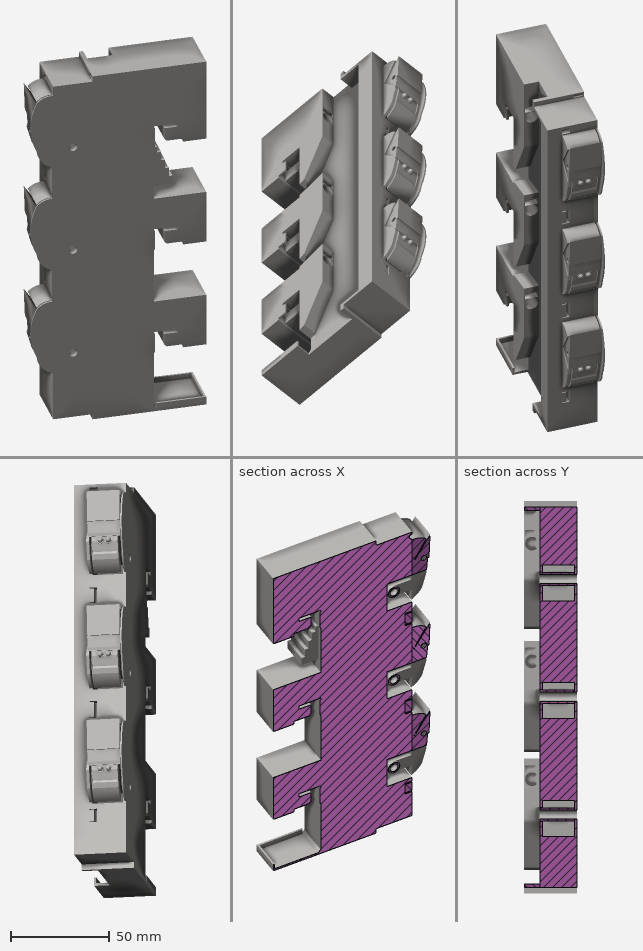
import cadquery as cq

WIDTH = 27.0
HEIGHT = 200.0
BACK_Y = 80.8
STRIP_WIDTH = 8.0
POLE_PITCH = 60.0
POLE_DROPS = [0.0, -POLE_PITCH, -2 * POLE_PITCH]

END_STEP_Y = 20.8
END_STEP_HEIGHT = 3.0
REAR_Y = 53.1
TRAY_FRONT_Y = 54.6
TRAY_HEIGHT = 4.5
TRAY_FLOOR = 1.4
TRAY_WALL = 1.0

BLOCK_TOP_Z = 184.0
BLOCK_BOTTOM_Z = 155.1
HOOK_SLOT_TOP_Z = 166.2
HOOK_TOP_Z = 164.3
HOOK_BOTTOM_Z = 156.9
HOOK_HEEL_Y = 68.6
HOOK_SLOT_Y = 65.5
HOOK_FACE_Y = 63.5
HOOK_TIP_Y = 58.7
HOOK_TIP_INSET = 5.0
HOOK_WALL = 1.0
HOOK_CHAMFER = 1.2
HOOK_WALL_CHAMFER = 0.8
RAIL_PAD_THICKNESS = 0.5
RAIL_PAD_BOTTOM_Z = 154.2
RAIL_PAD_TOP_Z = 165.3

PAD_FRONT_Y = 36.4
PAD_TOP_FRONT_Z = 188.7
PAD_TOP_REAR_Z = 185.6
PAD_BEND_Z = 159.8
PAD_TOE_Y = 49.7
PAD_TOE_Z = 136.0
PAD_BOTTOM_Z = 134.8
LOWER_PAD_EXTENSION = 2.8
PAD_BEND_RADIUS = 4.0
TERMINAL_DIAMETER = 7.0
TERMINAL_DEPTH = 12.0
TERMINAL_X = 4.0
TERMINAL_Z = 178.2
TERMINAL_SLOT_HEIGHT = 3.5
TERMINAL_SLOT_DEPTH = 4.0

STAIR_X = 12.0
STAIR_BOTTOM_Z = 131.2
STAIR_RISE = 4.9
STAIR_RUN = 2.0
STAIR_BACK_Y = 63.0
STAIR_COUNT = 4
STAIR_TOP_Y = 54.8
STAIR_TOP_Z = 154.1

STRIP_DEPTH = 9.9
FLANGE_TOP_Z = 5.0
FLANGE_END_Y = 23.0
TAB_WIDTH = 2.4
NOTCH_WIDTH = 3.9
NOTCH_CLEARANCE = 0.4
NOTCH_DEPTH = 4.0
TAB_SPANS = [(135.1, 142.4), (74.7, 82.8), (20.1, 26.2)]

GROOVE_DIAMETER = 3.0
GROOVE_Z = 193.9
GROOVE_WIDTH = 4.3
MARK_X = 21.1
MARK_WIDTH = 5.4
MARK_BOTTOM_Z = 197.5
MARK_HEIGHT = 2.0
MARK_DEPTH = 1.0

LEVER_RIGHT_X = 25.5
PIVOT_Y = 10.5
PIVOT_Z = 160.3
PIVOT_DIAMETER = 7.0
PIVOT_BORE = 4.5
POCKET_X = 9.5
POCKET_DEPTH = 14.5
POCKET_BOTTOM_Z = 149.3
POCKET_TOP_Z = 167.4
CORE_X = 10.5
CORE_RIGHT_X = 24.3
LEVER_TOP_Z = 191.65
LEVER_SHOULDER = (-8.4, 188.6)
LEVER_ARC_MIDDLE = (-5.0, 190.9)
LEVER_BROW = (-8.9, 165.0)
LEVER_CHIN = (-6.3, 155.8)
LEVER_CHIN_ARC_MIDDLE = (-3.8, 152.6)
LEVER_BOTTOM_Z = 150.0
HANDLE_REAR = (-0.7, 176.1)
HANDLE_FOOT = (-8.4, 167.6)
HANDLE_PEAK = (-10.6, 190.8)
HANDLE_STEP_Z = 175.3
HANDLE_STEP_FRONT_Y = -10.0
HANDLE_STEP_REAR_Y = -9.2
HANDLE_LIP = (-8.7, 169.2)
HANDLE_INSET = 0.6
HANDLE_HOLE_DIAMETER = 2.8
HANDLE_HOLE_DEPTH = 1.5
HANDLE_HOLE_Y = -6.8
HANDLE_HOLE_Z = 176.3
GRIP_MARGIN = 0.3
GRIP_OUTER_Y = -12.0
GRIP_FLOOR_Y = -8.0
GRIP_CREASE_Z = 164.9
GRIP_DEEPEST = (-6.8, 159.7)
GRIP_BOTTOM_Y = -7.1
GRIP_BOTTOM_Z = 158.3
LAMP_DIAMETER = 2.8
LAMP_COLLAR_DIAMETER = 3.6
LAMP_COLLAR_LENGTH = 1.5
LAMP_XS = (15.2, 19.4)
LAMP_Y = -8.3
LAMP_Z = 165.5

RAIL_THICKNESS = 0.5
RAIL_LEDGE_THICKNESS = 0.3
CHEEK_X = 26.2
CHEEK_CREST = (-11.83, 176.3)
CHEEK_CHIN = (-8.5, 160.0)
CHEEK_CHIN_ARC_MIDDLE = (-5.8, 153.6)
RAIL_BOTTOM_Z = 30.4
RAIL_TOP_Z = LEVER_TOP_Z


def side_sketch(x):
    """Workplane at the given X whose local axes are the part's Y and Z."""
    return cq.Workplane("YZ", origin=(x, 0, 0))


def side_prism(points, x_start, x_end):
    """Closed polygon of (Y, Z) points extruded from one X to another."""
    return side_sketch(x_start).polyline(points).close().extrude(x_end - x_start)


def box(x_span, y_span, z_span):
    """Box given by its limits along each axis."""
    size = [high - low for low, high in (x_span, y_span, z_span)]
    corner = (x_span[0], y_span[0], z_span[0])
    return cq.Workplane("XY").box(*size, centered=False).translate(corner)


def side_cylinder(diameter, y, z, x_start, x_end):
    """Round bar along X."""
    return side_sketch(x_start).center(y, z).circle(diameter / 2).extrude(x_end - x_start)


def hook_block(top_z):
    """Block behind the housing with its rail hook, for the top pole."""
    block = side_prism(
        [
            (REAR_Y, top_z),
            (BACK_Y, top_z),
            (BACK_Y, BLOCK_BOTTOM_Z),
            (HOOK_HEEL_Y, BLOCK_BOTTOM_Z),
            (HOOK_HEEL_Y, HOOK_BOTTOM_Z),
            (HOOK_FACE_Y + HOOK_WALL_CHAMFER, HOOK_BOTTOM_Z),
            (HOOK_FACE_Y, HOOK_BOTTOM_Z + HOOK_WALL_CHAMFER),
            (HOOK_FACE_Y, HOOK_TOP_Z),
            (HOOK_SLOT_Y, HOOK_TOP_Z),
            (HOOK_SLOT_Y, HOOK_SLOT_TOP_Z),
            (REAR_Y, HOOK_SLOT_TOP_Z),
        ],
        0,
        WIDTH,
    )
    tip = side_prism(
        [
            (HOOK_HEEL_Y, HOOK_TOP_Z),
            (HOOK_TIP_Y, HOOK_TOP_Z),
            (HOOK_TIP_Y, HOOK_BOTTOM_Z + HOOK_CHAMFER),
            (HOOK_TIP_Y + HOOK_CHAMFER, HOOK_BOTTOM_Z),
            (HOOK_HEEL_Y, HOOK_BOTTOM_Z),
        ],
        HOOK_TIP_INSET,
        WIDTH,
    )
    rail_pad = box(
        (STRIP_WIDTH, WIDTH),
        (REAR_Y, REAR_Y + RAIL_PAD_THICKNESS),
        (RAIL_PAD_BOTTOM_Z, RAIL_PAD_TOP_Z),
    )
    groove = box(
        (HOOK_WALL, HOOK_TIP_INSET), (HOOK_FACE_Y, HOOK_HEEL_Y), (HOOK_BOTTOM_Z, HOOK_TOP_Z)
    )
    return block.cut(groove).union(tip).union(rail_pad)


def side_pad(top_front_z, top_rear_z, extension=0.0):
    """Thick side area with its terminal hole and slot, for the top pole."""
    pad = side_prism(
        [
            (PAD_FRONT_Y, top_front_z),
            (REAR_Y, top_rear_z),
            (REAR_Y, PAD_BOTTOM_Z - extension),
            (PAD_TOE_Y, PAD_TOE_Z - extension),
            (PAD_FRONT_Y, PAD_BEND_Z - extension),
        ],
        0,
        STRIP_WIDTH,
    )
    bend = cq.selectors.NearestToPointSelector(
        (STRIP_WIDTH / 2, PAD_FRONT_Y, PAD_BEND_Z - extension)
    )
    pad = pad.edges(bend).fillet(PAD_BEND_RADIUS)
    radius = TERMINAL_DIAMETER / 2
    hole = (
        cq.Workplane("XZ", origin=(TERMINAL_X, PAD_FRONT_Y, TERMINAL_Z))
        .circle(radius)
        .extrude(-TERMINAL_DEPTH)
    )
    slot = box(
        (TERMINAL_X - radius, TERMINAL_X + radius),
        (PAD_FRONT_Y, PAD_FRONT_Y + TERMINAL_SLOT_DEPTH),
        (TERMINAL_Z + radius, TERMINAL_Z + radius + TERMINAL_SLOT_HEIGHT),
    )
    return pad.cut(hole).cut(slot)


def stepped_rib():
    """Staircase behind the top pole, widest at its foot."""
    points = [(REAR_Y, STAIR_BOTTOM_Z), (STAIR_BACK_Y, STAIR_BOTTOM_Z)]
    for step in range(STAIR_COUNT):
        y = STAIR_BACK_Y - step * STAIR_RUN
        z = STAIR_BOTTOM_Z + (step + 1) * STAIR_RISE
        next_y = STAIR_TOP_Y if step == STAIR_COUNT - 1 else y - STAIR_RUN
        points += [(y, z), (next_y, z)]
    points += [(STAIR_TOP_Y, STAIR_TOP_Z), (REAR_Y, STAIR_TOP_Z)]
    return side_prism(points, STAIR_X, WIDTH)


def foot_tray():
    """Shallow tray behind the foot of the housing, open towards the front."""
    rim = box((0, WIDTH), (TRAY_FRONT_Y, BACK_Y), (0, TRAY_HEIGHT))
    hollow = box(
        (TRAY_WALL, WIDTH - TRAY_WALL),
        (TRAY_FRONT_Y, BACK_Y - TRAY_WALL),
        (TRAY_FLOOR, TRAY_HEIGHT),
    )
    slope = TRAY_FRONT_Y - REAR_Y
    link = side_prism(
        [
            (REAR_Y, 0),
            (TRAY_FRONT_Y, 0),
            (TRAY_FRONT_Y, TRAY_FLOOR),
            (REAR_Y, TRAY_FLOOR + slope),
        ],
        STRIP_WIDTH,
        WIDTH,
    )
    return rim.cut(hollow).union(link)


def lever_pocket():
    """Pocket and pivot hole that receive the lever of the top pole."""
    pocket = box(
        (POCKET_X, LEVER_RIGHT_X), (0, POCKET_DEPTH), (POCKET_BOTTOM_Z, POCKET_TOP_Z)
    )
    hub_hole = side_cylinder(PIVOT_DIAMETER, PIVOT_Y, PIVOT_Z, STRIP_WIDTH, LEVER_RIGHT_X)
    bore = side_cylinder(PIVOT_BORE, PIVOT_Y, PIVOT_Z, STRIP_WIDTH, WIDTH)
    return pocket.union(hub_hole).union(bore)


def front_groove():
    """Half-round groove near the top of the front face."""
    return side_cylinder(
        GROOVE_DIAMETER, 0, GROOVE_Z, STRIP_WIDTH, STRIP_WIDTH + GROOVE_WIDTH
    )


def make_housing():
    """Main block with its three rail hooks, side pads and lever pockets."""
    body = box((STRIP_WIDTH, WIDTH), (0, END_STEP_Y), (END_STEP_HEIGHT, HEIGHT - END_STEP_HEIGHT))
    body = body.union(box((STRIP_WIDTH, WIDTH), (END_STEP_Y, REAR_Y), (0, HEIGHT)))
    for drop in POLE_DROPS:
        top_pole = drop == 0
        block = hook_block(HEIGHT if top_pole else BLOCK_TOP_Z)
        if top_pole:
            pad = side_pad(HEIGHT, HEIGHT)
        else:
            pad = side_pad(PAD_TOP_FRONT_Z, PAD_TOP_REAR_Z, LOWER_PAD_EXTENSION)
        body = body.union(block.union(pad).translate((0, 0, drop)))
        body = body.cut(lever_pocket().translate((0, 0, drop)))
    body = body.union(stepped_rib()).union(foot_tray())
    for low, high in TAB_SPANS:
        body = body.cut(
            box(
                (STRIP_WIDTH, STRIP_WIDTH + NOTCH_WIDTH),
                (0, NOTCH_DEPTH),
                (low - NOTCH_CLEARANCE, high + NOTCH_CLEARANCE),
            )
        )
    mark = box(
        (MARK_X, MARK_X + MARK_WIDTH),
        (END_STEP_Y, END_STEP_Y + MARK_DEPTH),
        (MARK_BOTTOM_Z, MARK_BOTTOM_Z + MARK_HEIGHT),
    )
    return body.cut(front_groove()).cut(mark)


def make_strip():
    """C-shaped strip with tabs that enter the notches of the housing."""
    lower = [
        (0, END_STEP_HEIGHT),
        (END_STEP_Y, END_STEP_HEIGHT),
        (END_STEP_Y, 0),
        (FLANGE_END_Y, 0),
        (FLANGE_END_Y, FLANGE_TOP_Z),
        (STRIP_DEPTH, FLANGE_TOP_Z),
    ]
    upper = [(y, HEIGHT - z) for y, z in reversed(lower)]
    strip = side_prism(lower + upper, 0, STRIP_WIDTH)
    for low, high in TAB_SPANS:
        tab = box((STRIP_WIDTH, STRIP_WIDTH + TAB_WIDTH), (0, NOTCH_DEPTH), (low, high))
        strip = strip.union(tab)
    return strip


def lever_shell():
    """Rounded rocker with the wedge-shaped gap that the handle fills."""
    return (
        side_sketch(STRIP_WIDTH)
        .moveTo(0, LEVER_TOP_Z)
        .threePointArc(LEVER_ARC_MIDDLE, LEVER_SHOULDER)
        .lineTo(*HANDLE_REAR)
        .lineTo(*HANDLE_FOOT)
        .lineTo(*LEVER_BROW)
        .lineTo(*LEVER_CHIN)
        .threePointArc(LEVER_CHIN_ARC_MIDDLE, (0, LEVER_BOTTOM_Z))
        .close()
        .extrude(LEVER_RIGHT_X - STRIP_WIDTH)
    )


def lever_handle():
    """Wedge handle, set in slightly from the left side of the rocker."""
    handle = side_prism(
        [
            HANDLE_REAR,
            HANDLE_PEAK,
            (HANDLE_STEP_FRONT_Y, HANDLE_STEP_Z),
            (HANDLE_STEP_REAR_Y, HANDLE_STEP_Z),
            HANDLE_LIP,
            HANDLE_FOOT,
        ],
        STRIP_WIDTH + HANDLE_INSET,
        LEVER_RIGHT_X,
    )
    hole_start = STRIP_WIDTH + HANDLE_INSET
    hole = side_cylinder(
        HANDLE_HOLE_DIAMETER,
        HANDLE_HOLE_Y,
        HANDLE_HOLE_Z,
        hole_start,
        hole_start + HANDLE_HOLE_DEPTH,
    )
    return handle.cut(hole)


def make_lever():
    """Lever of the top pole, pivoting on a hollow hub inside the housing."""
    shell = lever_shell()
    for start, end in ((POCKET_X, CORE_X), (CORE_RIGHT_X, LEVER_RIGHT_X)):
        shell = shell.cut(box((start, end), (GRIP_OUTER_Y, 0), (POCKET_BOTTOM_Z, POCKET_TOP_Z)))
    pivot_radius = PIVOT_DIAMETER / 2
    arm = box(
        (CORE_X, CORE_RIGHT_X),
        (0, PIVOT_Y),
        (PIVOT_Z - pivot_radius, PIVOT_Z + pivot_radius),
    )
    hub = side_cylinder(PIVOT_DIAMETER, PIVOT_Y, PIVOT_Z, STRIP_WIDTH, LEVER_RIGHT_X)
    bore = side_cylinder(PIVOT_BORE, PIVOT_Y, PIVOT_Z, STRIP_WIDTH, LEVER_RIGHT_X)
    grip = side_prism(
        [
            (GRIP_OUTER_Y, POCKET_TOP_Z),
            (GRIP_FLOOR_Y, POCKET_TOP_Z),
            (GRIP_FLOOR_Y, GRIP_CREASE_Z),
            GRIP_DEEPEST,
            (GRIP_BOTTOM_Y, GRIP_BOTTOM_Z),
            (GRIP_OUTER_Y, GRIP_BOTTOM_Z),
        ],
        CORE_X + GRIP_MARGIN,
        CORE_RIGHT_X - GRIP_MARGIN,
    )
    lever = shell.union(lever_handle()).union(arm).union(hub).cut(bore).cut(grip)
    for x in LAMP_XS:
        collar = (
            cq.Workplane("XZ", origin=(x, LAMP_Y, LAMP_Z))
            .circle(LAMP_COLLAR_DIAMETER / 2)
            .extrude(-LAMP_COLLAR_LENGTH)
        )
        dome = cq.Workplane("XY").sphere(LAMP_DIAMETER / 2).translate((x, LAMP_Y, LAMP_Z))
        lever = lever.union(collar).union(dome)
    return lever


def rail_hump():
    """Rounded cheek beside the lever of the top pole."""
    return (
        side_sketch(CHEEK_X)
        .moveTo(0, LEVER_TOP_Z)
        .threePointArc(LEVER_ARC_MIDDLE, LEVER_SHOULDER)
        .threePointArc(CHEEK_CREST, CHEEK_CHIN)
        .threePointArc(CHEEK_CHIN_ARC_MIDDLE, (0, LEVER_BOTTOM_Z))
        .close()
        .extrude(WIDTH - CHEEK_X)
    )


def make_rail():
    """Thin rail that joins the three cheeks beside the levers."""
    height = (RAIL_BOTTOM_Z, RAIL_TOP_Z)
    ledge = box((LEVER_RIGHT_X, WIDTH), (-RAIL_LEDGE_THICKNESS, 0), height)
    rail = ledge.union(box((CHEEK_X, WIDTH), (-RAIL_THICKNESS, 0), height))
    for drop in POLE_DROPS:
        rail = rail.union(rail_hump().translate((0, 0, drop)))
    return rail


housing = make_housing()
strip = make_strip()
lever = make_lever()
levers = [lever.translate((0, 0, drop)) for drop in POLE_DROPS]
rail = make_rail()

result = cq.Compound.makeCompound(
    [housing.val(), strip.val(), *[copy.val() for copy in levers], rail.val()]
)